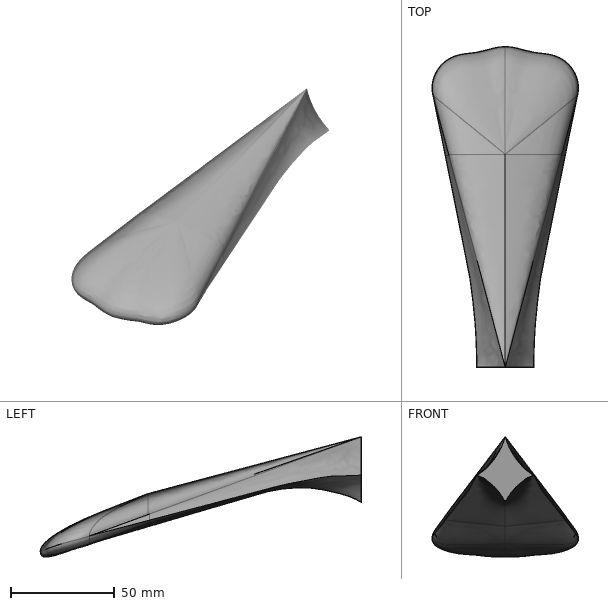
import cadquery as cq
import math


end_top = 58.4
end_bottom = 26.6
end_side_x = 13.9
end_side_z = 39.9
end_upper_sag = 2.2
end_lower_sag = 1.7

length = 155.8
peak_y = 103.5
peak_z = 30.8
corner_x = 35.0
corner_y = 132.0
corner_z = 10.3
tip_z = 3.0
hub_z = 6.4
crown_round = 7.8
crown_power = 4
belly_round = 4.4
belly_power = 12

apex = cq.Vector(0, 0, end_top)
peak = cq.Vector(0, peak_y, peak_z)
corner = cq.Vector(corner_x, corner_y, corner_z)
hub = cq.Vector(0, corner_y, hub_z)
tip = cq.Vector(0, length, tip_z)

station_step = 9.3
curved_stations = [
    (end_side_x, end_side_z, end_bottom),
    (14.0, 39.5, 30.5),
    (14.5, 38.8, 32.7),
    (15.3, 37.0, 33.6),
    (16.4, 35.0, 33.2),
    (17.8, 32.7, 31.5),
]
straight_steps = 6

rim_points = [
    corner,
    cq.Vector(35.5, 136.5, 8.9),
    cq.Vector(33.3, 143.6, 7.0),
    cq.Vector(28.4, 149.0, 5.3),
    cq.Vector(21.8, 151.9, 4.4),
    cq.Vector(14.8, 152.8, 3.9),
    cq.Vector(9.7, 153.9, 3.3),
    cq.Vector(4.8, 155.1, 3.1),
    tip,
]
rim_rays = 24
ray_fractions = [0, 0.2, 0.4, 0.6, 0.75, 0.85, 0.92, 0.97, 0.99, 1]


def hollow_edge(start, end, sag):
    """Curve in an XZ plane, bowed by sag to the left of the way from start to end."""
    chord = end - start
    left = cq.Vector(-chord.z, 0, chord.x).normalized()
    return cq.Edge.makeSpline([start, (start + end) * 0.5 + left * sag, end])


def rolled_ray(start, end, roll, power):
    """Edge that leaves start nearly straight and rolls by the height roll into end."""
    aim = end - cq.Vector(0, 0, roll)
    points = []
    for t in ray_fractions:
        lift = roll * (1 - math.sqrt(1 - t**power))
        points.append(start + (aim - start) * t + cq.Vector(0, 0, lift))
    return cq.Edge.makeSpline(points)


def dome_ray(rim_point):
    return rolled_ray(peak, rim_point, -crown_round, crown_power)


def belly_ray(rim_point):
    return rolled_ray(hub, rim_point, belly_round, belly_power)


def panel_edge_point(y):
    """Point on the straight edge of the top panel, which runs from the apex to the corner."""
    return apex + (corner - apex) * (y / corner_y)


def handle_section(ridge, keel):
    """Underside edge and side edge of the handle, with hollows that fade towards the corner."""
    fade = (1 - keel.y / corner_y)**2
    under_edge = hollow_edge(keel, ridge, end_lower_sag * fade)
    side_edge = hollow_edge(ridge, panel_edge_point(keel.y), end_upper_sag * fade)
    return under_edge, side_edge


def skin(*rows, ruled=False):
    """Surface through a row of sections, each a point or a chain of edges."""
    sections = []
    for row in rows:
        if isinstance(row, cq.Vector):
            sections.append(cq.Vertex.makeVertex(*row.toTuple()))
        else:
            sections.append(cq.Wire.assembleEdges(row))
    return cq.occ_impl.shapes.loft(*sections, ruled=ruled)


arch = dome_ray(panel_edge_point(peak_y))
panel = skin(apex, [arch], ruled=True)

rim = cq.Edge.makeSpline(rim_points)
rim_stations = [rim.positionAt(i / rim_rays) for i in range(rim_rays + 1)]
dome_side = skin([arch], [dome_ray(corner)], ruled=True)
dome_tip = skin(*[[dome_ray(point)] for point in rim_stations])
belly = skin(*[[belly_ray(point)] for point in rim_stations])

ridges = []
keels = []
for step, (ridge_x, ridge_z, keel_z) in enumerate(curved_stations):
    ridges.append(cq.Vector(ridge_x, step * station_step, ridge_z))
    keels.append(cq.Vector(0, step * station_step, keel_z))
last_ridge = ridges[-1]
last_keel = keels[-1]
for step in range(1, straight_steps + 1):
    along = step * station_step / (corner_y - last_keel.y)
    ridges.append(last_ridge + (corner - last_ridge) * along)
    keels.append(last_keel + (hub - last_keel) * along)
sections = [handle_section(ridge, keel) for ridge, keel in zip(ridges, keels)]
handle = skin(*sections)
last_under_edge, last_side_edge = sections[-1]
underside = skin([last_under_edge], [belly_ray(corner)], ruled=True)
side = skin([last_side_edge], corner, ruled=True)

under_edge, side_edge = sections[0]
end_outline = [side_edge, under_edge, under_edge.mirror("YZ"), side_edge.mirror("YZ")]
end_face = cq.Face.makeFromWires(cq.Wire.assembleEdges(end_outline))

half_skin = [panel, dome_side, dome_tip, belly, underside, side] + handle.Faces()
whole_skin = half_skin + [face.mirror("YZ") for face in half_skin] + [end_face]
result = cq.Workplane(obj=cq.Solid.makeSolid(cq.Shell.makeShell(whole_skin)).fix())